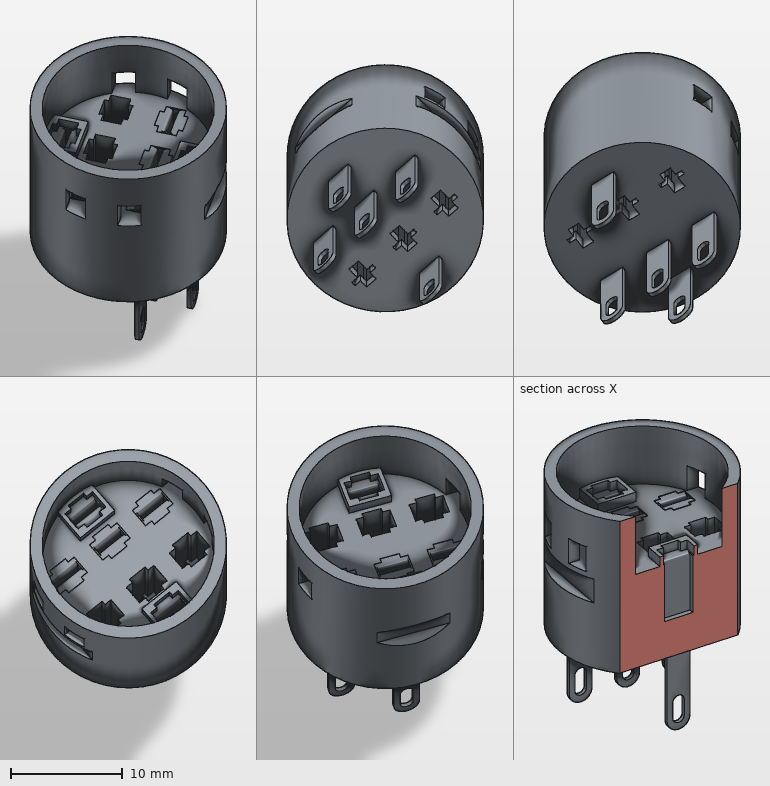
import cadquery as cq
import math

outer_diameter = 17.6
inner_diameter = 15.4
housing_height = 16.0
floor_z = 9.9
inner_radius = inner_diameter / 2

window_width = 2.0
window_height = 2.6
window_offset = 2.5

groove_z = 8.1
vee_depth = 0.7
vee_root_height = 1.55
vee_mouth_height = vee_root_height + 2 * vee_depth
flat_groove_height = 2.5

side_column_x = 6.0
inner_column_x = 2.58
row_pitch = 5.0
cell_length = 3.2
cell_neck_width = 1.84
cell_width = 2.64
cell_middle_length = 1.8
cell_bottom_z = 1.5

collar_inner_x = 4.3
collar_width = 4.0
collar_height = 1.0

contact_top_z = floor_z + 0.05
socket_length = 2.9
socket_mouth_width = 1.0
socket_gap = 0.48
socket_depth = 6.0
lead_in_radius = (socket_mouth_width - socket_gap) / 2

tab_thickness = 0.4
tab_width = 2.4
tab_length = 7.9
eyelet_width = 1.2
eyelet_length = 2.85
eyelet_center_z = -5.75

tab_slot_length = 2.5
release_hole_length = 1.15
release_hole_start = -1.0

rows = (-row_pitch, 0, row_pitch)
side_cells = [(-side_column_x, 0), (side_column_x, 0)]
right_cells = [(inner_column_x, y) for y in rows]
empty_cells = [(-inner_column_x, y) for y in rows]
contact_cells = side_cells + right_cells


def block(x_range, y_range, z_range):
    """Box spanning the given ranges."""
    size = [high - low for low, high in (x_range, y_range, z_range)]
    corner = (x_range[0], y_range[0], z_range[0])
    return cq.Workplane("XY").box(*size, centered=False).translate(corner)


def pillar(length_x, length_y, z_low, z_high):
    """Box centred on the Z axis, from z_low to z_high."""
    base = cq.Workplane("XY").workplane(offset=z_low)
    return base.rect(length_x, length_y).extrude(z_high - z_low)


def cell_prism(z_low, z_high):
    """Cross-shaped prism with the outline of a contact cell."""
    neck = pillar(cell_neck_width, cell_length, z_low, z_high)
    middle = pillar(cell_width, cell_middle_length, z_low, z_high)
    return neck.union(middle)


def make_housing():
    """Cup with a thick solid base and a thin rim."""
    cup = cq.Workplane("XY").circle(outer_diameter / 2).extrude(housing_height)
    bore = cq.Workplane("XY").workplane(offset=floor_z).circle(inner_radius)
    return cup.cut(bore.extrude(housing_height - floor_z))


def make_collars():
    """Raised blocks on the floor at both sides, trimmed to the bore."""
    collar_top_z = floor_z + collar_height
    both_sides = pillar(inner_diameter, collar_width, floor_z, collar_top_z)
    middle_gap = pillar(2 * collar_inner_x, collar_width, floor_z, collar_top_z)
    bore = cq.Workplane("XY").workplane(offset=floor_z).circle(inner_radius)
    return both_sides.cut(middle_gap).intersect(bore.extrude(collar_height))


def make_windows():
    """Rectangular openings running through both walls along Y."""
    window = pillar(window_width, outer_diameter, floor_z, floor_z + window_height)
    left = window.translate((-window_offset, 0, 0))
    right = window.translate((window_offset, 0, 0))
    return left.union(right)


def make_vee_groove():
    """Groove with 45 degree flanks across the +X side."""
    mouth_x = outer_diameter / 2
    root_x = mouth_x - vee_depth
    half_mouth = vee_mouth_height / 2
    half_root = vee_root_height / 2
    profile = [
        (mouth_x, groove_z - half_mouth),
        (root_x, groove_z - half_root),
        (root_x, groove_z + half_root),
        (mouth_x, groove_z + half_mouth),
    ]
    sketch = cq.Workplane("XZ").polyline(profile).close()
    return sketch.extrude(outer_diameter / 2, both=True)


def make_flat_groove():
    """Square groove across the +Y side, as deep as the rim is thick."""
    radius = outer_diameter / 2
    half_height = flat_groove_height / 2
    z_range = (groove_z - half_height, groove_z + half_height)
    return block((-radius, radius), (inner_radius, radius), z_range)


def make_empty_cell():
    """Pocket with a tab slot and a release hole through its bottom."""
    pocket = cell_prism(cell_bottom_z, floor_z)
    tab_slot = pillar(tab_thickness, tab_slot_length, 0, cell_bottom_z)
    release_hole = block(
        (release_hole_start, cell_width / 2),
        (-release_hole_length / 2, release_hole_length / 2),
        (0, cell_bottom_z),
    )
    return pocket.union(tab_slot).union(release_hole)


def make_socket():
    """Blade slot of a contact, with rounded lead-ins along both long sides."""
    half_gap = socket_gap / 2
    half_mouth = socket_mouth_width / 2
    shoulder_z = contact_top_z - lead_in_radius
    bottom_z = contact_top_z - socket_depth
    bend = lead_in_radius * (1 - math.cos(math.pi / 4))
    profile = (
        cq.Workplane("XZ")
        .moveTo(-half_gap, bottom_z)
        .lineTo(half_gap, bottom_z)
        .lineTo(half_gap, shoulder_z)
        .threePointArc((half_gap + bend, contact_top_z - bend), (half_mouth, contact_top_z))
        .lineTo(-half_mouth, contact_top_z)
        .threePointArc((-half_gap - bend, contact_top_z - bend), (-half_gap, shoulder_z))
        .close()
    )
    return profile.extrude(socket_length / 2, both=True)


def make_tab():
    """Flat solder tab hanging from the bottom of a cell, with a round end and an oblong eyelet."""
    end_radius = tab_width / 2
    straight_end_z = end_radius - tab_length
    outline = (
        cq.Workplane("YZ")
        .moveTo(-end_radius, cell_bottom_z)
        .lineTo(-end_radius, straight_end_z)
        .threePointArc((0, -tab_length), (end_radius, straight_end_z))
        .lineTo(end_radius, cell_bottom_z)
        .close()
    )
    tab = outline.extrude(tab_thickness / 2, both=True)
    eyelet = cq.Workplane("YZ").center(0, eyelet_center_z).slot2D(eyelet_length, eyelet_width, 90)
    return tab.cut(eyelet.extrude(tab_thickness / 2, both=True))


result = make_housing().union(make_collars())
result = result.cut(make_windows())
result = result.cut(make_vee_groove())
result = result.cut(make_flat_groove())

collar_opening = cell_prism(contact_top_z, floor_z + collar_height)
contact = cell_prism(cell_bottom_z, contact_top_z).union(make_tab())
socket = make_socket()
for x, y in contact_cells:
    result = result.cut(collar_opening.translate((x, y, 0)))
    result = result.union(contact.translate((x, y, 0)))
    result = result.cut(socket.translate((x, y, 0)))

empty_cell = make_empty_cell()
for x, y in empty_cells:
    result = result.cut(empty_cell.translate((x, y, 0)))